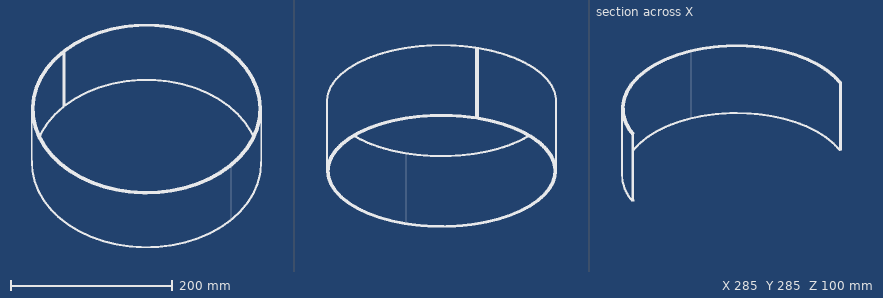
import cadquery as cq
import math

outer_diameter = 285.0
wall_thickness = 2.5
height = 100.0
outer_chamfer = 0.5
inner_chamfer = 0.2
gap_angle = 1.0

outer_radius = outer_diameter / 2
inner_radius = outer_radius - wall_thickness


def make_ring():
    """Thin-walled cylinder standing on Z = 0, with all four rim edges chamfered."""
    disc = cq.Workplane("XY").circle(outer_radius).extrude(height)
    disc = disc.faces("<Z or >Z").edges().chamfer(outer_chamfer)
    ring = disc.cut(cq.Workplane("XY").circle(inner_radius).extrude(height))
    bore_rims = ring.faces("<Z or >Z").edges(cq.selectors.RadiusNthSelector(0))
    return bore_rims.chamfer(inner_chamfer)


def make_gap_cutter():
    """Wedge from the Z axis that splits the wall at -X, opening toward +Y from the XZ plane."""
    reach = outer_diameter
    opening = reach * math.tan(math.radians(gap_angle))
    return (
        cq.Workplane("XY")
        .moveTo(0, 0)
        .lineTo(-reach, 0)
        .lineTo(-reach, opening)
        .close()
        .extrude(height)
    )


result = make_ring().cut(make_gap_cutter())